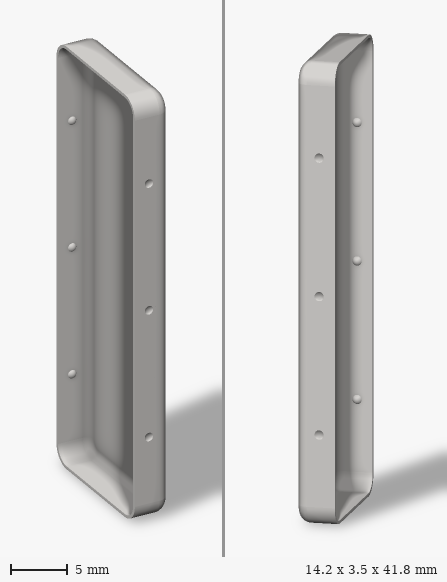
import cadquery as cq

width = 14.2
depth = 3.5
height = 41.8
wall = 0.3
corner_radius = 1.8
back_edge_radius = 1.0

dimple_radius = 0.4
dimple_depth = 0.25
dimple_spacing = 12.55
dimple_from_rim = 1.42

cap_sphere_radius = (dimple_radius**2 + dimple_depth**2) / (2 * dimple_depth)
rim_y = -depth / 2
back_y = depth / 2


def rounded_block(inset):
    """Round-cornered block, inset from the outer faces, with a rounded back edge."""
    block = (
        cq.Workplane("XZ", origin=(0, back_y - inset, 0))
        .rect(width - 2 * inset, height - 2 * inset)
        .extrude(depth - inset)
    )
    block = block.edges("|Y").fillet(corner_radius - inset)
    return block.faces(">Y").edges().fillet(back_edge_radius - inset)


def spherical_cap(base_x, z):
    """Solid cap on the plane x = base_x, bulging toward -X."""
    return (
        cq.Workplane("XY", origin=(base_x, rim_y + dimple_from_rim, z))
        .moveTo(0, 0)
        .lineTo(0, dimple_radius)
        .radiusArc((-dimple_depth, 0), -cap_sphere_radius)
        .close()
        .revolve(360, (0, 0), (1, 0))
    )


tray = rounded_block(0).cut(rounded_block(wall))

for row in (-1, 0, 1):
    z = row * dimple_spacing
    bump = spherical_cap(width / 2 - wall, z)
    dimple = spherical_cap(width / 2, z)
    tray = tray.union(bump).cut(dimple)
    tray = tray.union(bump.mirror("YZ")).cut(dimple.mirror("YZ"))

result = tray